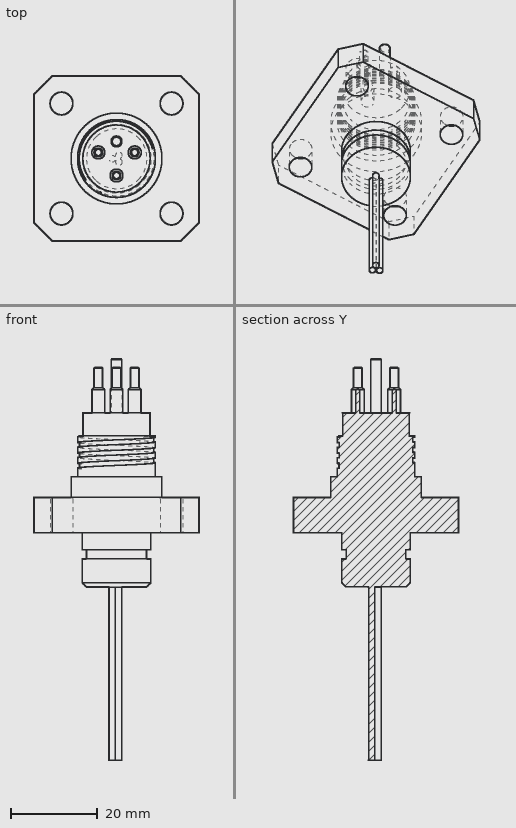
import cadquery as cq

TOTAL_HEIGHT = 92.7

FLANGE_SIZE = 38.1
FLANGE_THICKNESS = 8.2
FLANGE_CORNER_CUT = 4.2
MOUNT_HOLE_DIAMETER = 5.2
MOUNT_HOLE_SPACING = 25.4

RING_DIAMETER = 21.0
RING_HEIGHT = 4.8
BARREL_DIAMETER = 18.0
BARREL_HEIGHT = 9.4
FACE_DIAMETER = 15.5
FACE_HEIGHT = 5.3

THREAD_PITCH = 2.4
THREAD_GROOVE_WIDTH = 1.1
THREAD_DEPTH = 0.4
THREAD_START_ABOVE_RING = 2.4
THREAD_START_ANGLE = 162.0
BARREL_SEAM_ANGLE = 90.0

SPIGOT_DIAMETER = 15.9
SPIGOT_LENGTH = 12.5
SPIGOT_CHAMFER = 1.0
SEAL_GROOVE_DIAMETER = 13.9
SEAL_GROOVE_TOP = 3.9
SEAL_GROOVE_WIDTH = 2.1
SEAL_GROOVE_FILLET = 0.2

WIRE_DIAMETER = 1.5
WIRE_LENGTH = 40.0
WIRE_CENTERS = [(-1.0, 0.0), (0.5, 0.77), (0.5, -0.77)]

CONTACT_CENTERS = [(4.2, 1.4), (0.0, -3.92), (-4.2, 1.4)]
CONTACT_BASE_DIAMETER = 3.0
CONTACT_BASE_HEIGHT = 5.85
CONTACT_TIP_DIAMETER = 2.0
CONTACT_BASE_CHAMFER = (CONTACT_BASE_DIAMETER - CONTACT_TIP_DIAMETER) / 2
CONTACT_HEIGHT = 10.5
KEY_PIN_CENTER = (0.0, 3.95)
KEY_PIN_DIAMETER = 2.5
PIN_TIP_CHAMFER = 0.25

RING_TOP = FLANGE_THICKNESS + RING_HEIGHT
BARREL_TOP = RING_TOP + BARREL_HEIGHT
FACE_TOP = BARREL_TOP + FACE_HEIGHT
PART_TOP = TOTAL_HEIGHT - SPIGOT_LENGTH - WIRE_LENGTH

OVERLAP = 1.0


def cylinder(diameter, bottom, top, center=(0.0, 0.0)):
    """Upright cylinder between two levels."""
    base = cq.Workplane("XY").workplane(offset=bottom).center(*center)
    return base.circle(diameter / 2).extrude(top - bottom)


def make_flange():
    """Square plate with cut corners and a mounting hole near each corner."""
    plate = cq.Workplane("XY").rect(FLANGE_SIZE, FLANGE_SIZE).extrude(FLANGE_THICKNESS)
    plate = plate.edges("|Z").chamfer(FLANGE_CORNER_CUT)
    holes = plate.faces(">Z").workplane().rect(MOUNT_HOLE_SPACING, MOUNT_HOLE_SPACING, forConstruction=True)
    return holes.vertices().hole(MOUNT_HOLE_DIAMETER)


def make_thread_groove():
    """Rectangular section swept along a right-handed helix until it clears the barrel's top."""
    start = RING_TOP + THREAD_START_ABOVE_RING
    height = BARREL_TOP + THREAD_GROOVE_WIDTH - start
    radius = BARREL_DIAMETER / 2
    helix = cq.Wire.makeHelix(THREAD_PITCH, height, radius)
    section = cq.Workplane("XZ").center(radius, 0).rect(2 * THREAD_DEPTH, THREAD_GROOVE_WIDTH)
    groove = section.sweep(cq.Workplane(helix), isFrenet=True)
    return groove.rotate((0, 0, 0), (0, 0, 1), THREAD_START_ANGLE).translate((0, 0, start))


def make_body():
    """Ring, threaded barrel and contact face stacked on the flange."""
    barrel = cylinder(BARREL_DIAMETER, RING_TOP - OVERLAP, BARREL_TOP)
    barrel = barrel.rotate((0, 0, 0), (0, 0, 1), BARREL_SEAM_ANGLE).cut(make_thread_groove())
    ring = cylinder(RING_DIAMETER, FLANGE_THICKNESS - OVERLAP, RING_TOP)
    face = cylinder(FACE_DIAMETER, BARREL_TOP - OVERLAP, FACE_TOP)
    return ring.union(barrel).union(face)


def make_spigot():
    """Chamfered cylinder below the flange with a seal groove whose floor corners are rounded."""
    spigot = cylinder(SPIGOT_DIAMETER, -SPIGOT_LENGTH, OVERLAP).faces("<Z").chamfer(SPIGOT_CHAMFER)
    groove_bottom = -SEAL_GROOVE_TOP - SEAL_GROOVE_WIDTH
    groove = cylinder(SPIGOT_DIAMETER + OVERLAP, groove_bottom, -SEAL_GROOVE_TOP)
    core = cylinder(SEAL_GROOVE_DIAMETER, groove_bottom, -SEAL_GROOVE_TOP)
    spigot = spigot.cut(groove.cut(core))
    floor_edges = cq.selectors.RadiusNthSelector(0)
    return spigot.edges("%CIRCLE").edges(floor_edges).fillet(SEAL_GROOVE_FILLET)


def make_contact(center):
    """Pin with a thick base that tapers into a thinner chamfered tip."""
    base = cylinder(CONTACT_BASE_DIAMETER, FACE_TOP - OVERLAP, FACE_TOP + CONTACT_BASE_HEIGHT, center)
    base = base.faces(">Z").chamfer(CONTACT_BASE_CHAMFER)
    tip = cylinder(CONTACT_TIP_DIAMETER, FACE_TOP, FACE_TOP + CONTACT_HEIGHT, center)
    return base.union(tip.faces(">Z").chamfer(PIN_TIP_CHAMFER))


def make_key_pin():
    """Plain pin, taller than the contacts, with a chamfered tip."""
    pin = cylinder(KEY_PIN_DIAMETER, FACE_TOP - OVERLAP, PART_TOP, KEY_PIN_CENTER)
    return pin.faces(">Z").chamfer(PIN_TIP_CHAMFER)


def make_wire(center):
    """Straight wire hanging from the spigot."""
    return cylinder(WIRE_DIAMETER, -SPIGOT_LENGTH - WIRE_LENGTH, -SPIGOT_LENGTH + OVERLAP, center)


result = make_flange().union(make_body()).union(make_spigot()).union(make_key_pin())
for contact_center in CONTACT_CENTERS:
    result = result.union(make_contact(contact_center))
for wire_center in WIRE_CENTERS:
    result = result.union(make_wire(wire_center))